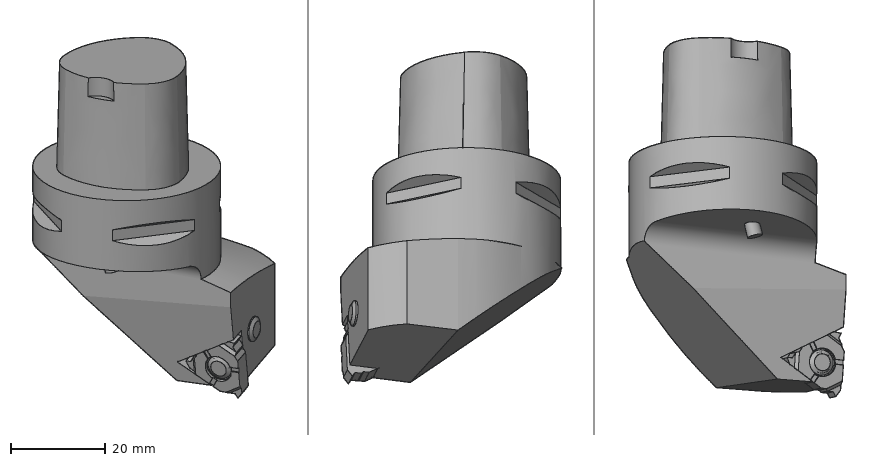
import cadquery as cq
import math

flange_radius = 20.0
flange_height = 21.0
floor_z = -58.15
reach = 72.7

shank_height = 24.0
lobe_angles = (90, 210, 330)
half_arc = 30
lobe_offset = 6.2
lobe_radius = 8.7
flat_radius = 19.3
taper_per_side = 1 / 40
key_notch_radius = 4.0
key_notch_y = -15.0
key_notch_depth = 4.2

groove_count = 4
first_groove_angle = 45.0
groove_z = -8.0
groove_floor_distance = 17.7
groove_floor_width = 2.5
groove_flank_angle = 30.0

step_y = -4.0
undercut_edge_z = -16.0
undercut_slope = 5.0
undercut_radius = 4.0

head_right_x = 26.6
head_corner_x = 26.1
head_corner_y = 18.25
head_back_y = 22.45
head_back_right_x = 18.6
head_back_left_x = 7.5
corner_arc_point = (22.5, 20.7)
back_arc_point = (-6.5, 19.05)
back_arc_end = (-19.9, 6.4)
shoulder_angle = 15.0
slant_top_z = -20.1
slant_angle = 39.5

insert_x = 22.3
insert_y = -1.3
insert_z = -42.0
face_tilt = 10.0
crease_angle = 5.7
bottom_drop = 4.35
bottom_angle = 2.0

tool_bottom_z = -48.7
tip_x = 3.8
tooth_root_x = 3.1
tooth_end_y = -5.45
shoulder_x = 1.7
shoulder_y = -5.95
relief_x = 1.2
insert_sides = 3
insert_inradius = 4.8
insert_thickness = 4.0
corner_step_distance = 5.45
corner_step_depth = 0.65
corner_step_run = 0.65
mark_offset = 0.4
mark_width = 1.0
mark_depth = 0.3
rim_radius = 6.0 / 2
rim_depth = 0.7
screw_shank_radius = 4.4 / 2
head_base_radius = 5.45 / 2
head_flat_radius = 1.8
head_height = 0.6

side_screw_y = 7.3
side_screw_z = -35.2
side_screw_top_x = 27.25

nozzle_diameter = 3.3
nozzle_tip = (2.6, -12.0, -19.2)
nozzle_tilt = 15.0
nozzle_length = 5.8


def polar(radius, degrees):
    angle = math.radians(degrees)
    return (radius * math.cos(angle), radius * math.sin(angle))


def from_centre(centre, radius, degrees):
    dx, dy = polar(radius, degrees)
    return (centre[0] + dx, centre[1] + dy)


crease_plane = cq.Plane(
    origin=(insert_x, insert_y, insert_z), xDir=(1, 0, 0), normal=(0, -1, 0)
).rotated((0, 0, crease_angle)).rotated((face_tilt, 0, 0))
insert_plane = crease_plane.rotated((0, 0, -crease_angle))


def shank():
    first_lobe = lobe_angles[0]
    start = from_centre(polar(lobe_offset, first_lobe), lobe_radius, first_lobe - half_arc)
    outline = cq.Workplane("XY").moveTo(*start)
    for lobe in lobe_angles:
        lobe_centre = polar(lobe_offset, lobe)
        outline = outline.threePointArc(
            from_centre(lobe_centre, lobe_radius, lobe),
            from_centre(lobe_centre, lobe_radius, lobe + half_arc),
        )
        flat = lobe + 2 * half_arc
        flat_centre = polar(lobe_offset, flat + 180)
        outline = outline.threePointArc(
            from_centre(flat_centre, flat_radius, flat),
            from_centre(flat_centre, flat_radius, flat + half_arc),
        )
    taper_angle = math.degrees(math.atan(taper_per_side))
    body = outline.close().extrude(shank_height, taper=taper_angle)
    notch = (
        cq.Workplane("XY", origin=(0, key_notch_y, shank_height))
        .circle(key_notch_radius)
        .extrude(-key_notch_depth)
    )
    return body.cut(notch)


def gripper_groove(angle):
    floor_half = groove_floor_width / 2
    run = flange_radius - groove_floor_distance
    mouth_half = floor_half + run * math.tan(math.radians(groove_flank_angle))
    return (
        cq.Workplane("XZ", origin=(0, flange_radius, groove_z))
        .polyline([
            (groove_floor_distance, -floor_half),
            (groove_floor_distance, floor_half),
            (flange_radius, mouth_half),
            (flange_radius, -mouth_half),
        ])
        .close()
        .extrude(2 * flange_radius)
        .rotate((0, 0, 0), (0, 0, 1), angle)
    )


def head():
    outline = (
        cq.Workplane("XY", origin=(0, 0, floor_z))
        .moveTo(0, step_y)
        .lineTo(head_right_x, step_y)
        .lineTo(head_corner_x, head_corner_y)
        .threePointArc(corner_arc_point, (head_back_right_x, head_back_y))
        .lineTo(head_back_left_x, head_back_y)
        .threePointArc(back_arc_point, back_arc_end)
        .close()
        .extrude(-floor_z)
    )
    shoulder_run = reach - flange_radius
    shoulder_drop = shoulder_run * math.tan(math.radians(shoulder_angle))
    shoulder = (
        cq.Workplane("XZ")
        .polyline([
            (0, floor_z),
            (reach, floor_z),
            (reach, -flange_height - shoulder_drop),
            (flange_radius, -flange_height),
            (0, -flange_height),
        ])
        .close()
        .revolve(360, (0, 0), (0, 1))
    )
    return outline.intersect(shoulder)


def undercut():
    slope = math.tan(math.radians(undercut_slope))
    inner_z = undercut_edge_z - slope * (flange_radius + step_y)
    outer_z = undercut_edge_z + slope * (reach - flange_radius)
    return (
        cq.Workplane("YZ", origin=(-reach, 0, 0))
        .polyline([(-reach, floor_z), (step_y, floor_z), (step_y, inner_z), (-reach, outer_z)])
        .close()
        .extrude(2 * reach)
        .faces(">Y")
        .edges(">Z")
        .fillet(undercut_radius)
    )


def slant_cutter():
    drop = 2 * reach * math.tan(math.radians(slant_angle))
    end_x = 2 * reach - flange_radius
    return (
        cq.Workplane("XZ", origin=(0, reach, 0))
        .polyline([
            (-flange_radius, slant_top_z),
            (end_x, slant_top_z - drop),
            (-flange_radius, slant_top_z - drop),
        ])
        .close()
        .extrude(2 * reach)
    )


def tilted_face_cutter():
    crease_rise = (insert_y - step_y) / math.sin(math.radians(face_tilt))
    return (
        cq.Workplane(crease_plane)
        .center(0, crease_rise)
        .rect(2 * reach, -reach, centered=(True, False))
        .extrude(reach / 2)
    )


def bottom_cutter():
    bottom_plane = insert_plane.rotated((0, 0, bottom_angle))
    return (
        cq.Workplane(bottom_plane)
        .center(0, -bottom_drop)
        .rect(2 * reach, -reach, centered=(True, False))
        .extrude(reach, both=True)
    )


def insert_pocket():
    corner_distance = 2 * insert_inradius
    return (
        cq.Workplane(insert_plane)
        .polyline([polar(corner_distance, angle) for angle in (180, 300, 60)])
        .close()
        .extrude(-insert_thickness)
    )


def screw_head(plane):
    """Head standing on the given plane, tapering to its flat top."""
    return (
        cq.Workplane(plane)
        .circle(head_base_radius)
        .workplane(offset=head_height)
        .circle(head_flat_radius)
        .loft()
    )


def insert_screw():
    shank_body = (
        cq.Workplane(insert_plane)
        .workplane(offset=-insert_thickness)
        .circle(screw_shank_radius)
        .extrude(insert_thickness - rim_depth)
    )
    base = cq.Plane(
        origin=insert_plane.toWorldCoords((0, 0, -rim_depth)),
        xDir=insert_plane.xDir,
        normal=insert_plane.zDir,
    )
    return shank_body.union(screw_head(base))


def side_screw():
    base = cq.Plane(
        origin=(side_screw_top_x - head_height, side_screw_y, side_screw_z),
        xDir=(0, 1, 0),
        normal=(1, 0, 0),
    )
    stem = cq.Workplane(base).circle(head_base_radius).extrude(-head_height)
    return stem.union(screw_head(base))


def nozzle():
    tilt = math.radians(nozzle_tilt)
    axis = cq.Plane(origin=nozzle_tip, xDir=(0, 1, 0), normal=(-math.sin(tilt), 0, math.cos(tilt)))
    return cq.Workplane(axis).circle(nozzle_diameter / 2).extrude(nozzle_length)


def make_holder():
    collar = cq.Workplane("XY").circle(flange_radius).extrude(floor_z)
    body = collar.union(head())
    body = body.cut(undercut()).cut(slant_cutter()).cut(tilted_face_cutter()).cut(bottom_cutter())
    for index in range(groove_count):
        body = body.cut(gripper_groove(first_groove_angle + index * 360 / groove_count))
    body = body.cut(insert_pocket())
    return body.union(shank()).union(insert_screw()).union(side_screw()).union(nozzle())


def insert_corner():
    """Outline of one cutting corner; the tip height makes the tool end at its bottom."""
    flank_y = -insert_inradius / math.cos(math.pi / insert_sides / 2)
    x_rise, y_rise, z_rise = (axis.z for axis in (insert_plane.xDir, insert_plane.yDir, insert_plane.zDir))
    tip_y = (tool_bottom_z - insert_z - tip_x * x_rise + corner_step_depth * z_rise) / y_rise
    return [
        (0, flank_y),
        (relief_x, flank_y),
        (shoulder_x, shoulder_y),
        (tooth_root_x, shoulder_y),
        (tip_x, tip_y),
        (insert_inradius, tooth_end_y),
    ]


def insert_blank(turns):
    points = []
    for turn in turns:
        cosine = math.cos(math.radians(turn))
        sine = math.sin(math.radians(turn))
        points += [(x * cosine - y * sine, x * sine + y * cosine) for x, y in insert_corner()]
    return cq.Workplane("XY").polyline(points).close().extrude(-insert_thickness)


def corner_step():
    """Cutter that lowers the insert face beyond a sloping wall, on the +X side."""
    return (
        cq.Workplane("XZ", origin=(0, reach / 2, 0))
        .polyline([
            (corner_step_distance, 0),
            (corner_step_distance + corner_step_run, -corner_step_depth),
            (reach, -corner_step_depth),
            (reach, 0),
        ])
        .close()
        .extrude(reach)
    )


def edge_mark():
    """Shallow groove from the screw hole to the middle of the +X edge."""
    return (
        cq.Workplane("XY", origin=(0, mark_offset, 0))
        .rect(2 * insert_inradius, mark_width, centered=(False, True))
        .extrude(-mark_depth)
    )


def make_insert():
    turns = [index * 360 / insert_sides for index in range(insert_sides)]
    body = insert_blank(turns)
    for turn in turns:
        corner_turn = turn + 180 / insert_sides
        body = body.cut(corner_step().rotate((0, 0, 0), (0, 0, 1), corner_turn))
        body = body.cut(edge_mark().rotate((0, 0, 0), (0, 0, 1), turn))
    rim = cq.Workplane("XY").circle(rim_radius).extrude(-rim_depth)
    hole = cq.Workplane("XY").circle(screw_shank_radius).extrude(-insert_thickness)
    body = body.cut(rim).cut(hole)
    return cq.Workplane(body.val().moved(insert_plane.location))


holder = make_holder()
insert = make_insert()

result = cq.Compound.makeCompound([holder.solids().val(), insert.solids().val()])